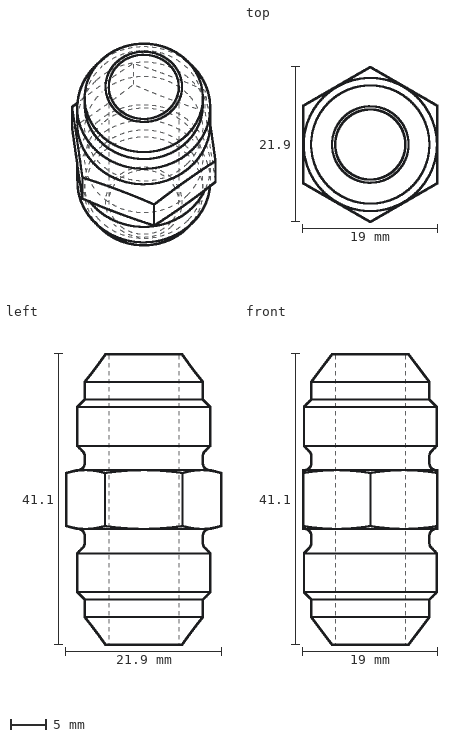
import cadquery as cq
import math

total_length = 41.1
bore_diameter = 9.9

hex_across_flats = 19.0
hex_height = 8.3
hex_chamfer_angle = math.radians(15)

neck_diameter = 16.74
thread_diameter = 18.85
cone_half_angle = math.radians(37)
cone_length = 3.92
neck_length = 2.48
thread_run_length = 6.55
groove_radius = 1.0
flank_angle = math.radians(45)

hex_half_sector = 30
hex_half_height = hex_height / 2
hex_across_corners = hex_across_flats / math.cos(math.radians(hex_half_sector))
half_length = total_length / 2
neck_radius = neck_diameter / 2
thread_radius = thread_diameter / 2


def make_hexagon():
    """Hexagonal prism whose corners are trimmed by a shallow cone at both ends."""
    prism = (
        cq.Workplane("XY")
        .polygon(6, hex_across_corners)
        .extrude(hex_height)
        .rotate((0, 0, 0), (0, 0, 1), hex_half_sector)
        .translate((0, 0, -hex_half_height))
    )
    face_radius = hex_across_flats / 2
    corner_radius = hex_across_corners / 2
    trim_depth = (corner_radius - face_radius) * math.tan(hex_chamfer_angle)
    corner_z = hex_half_height - trim_depth
    envelope = (
        cq.Workplane("XZ")
        .moveTo(0, -hex_half_height)
        .lineTo(face_radius, -hex_half_height)
        .lineTo(corner_radius, -corner_z)
        .lineTo(corner_radius, corner_z)
        .lineTo(face_radius, hex_half_height)
        .lineTo(0, hex_half_height)
        .close()
        .revolve(360, (0, 0, 0), (0, 1, 0))
    )
    return prism.intersect(envelope)


def make_upper_end():
    """Turned end above the hexagon, revolved about Z from the middle of the part."""
    tip_radius = neck_radius - cone_length * math.tan(cone_half_angle)
    cone_base_z = half_length - cone_length
    neck_end_z = cone_base_z - neck_length
    thread_top_z = neck_end_z - (thread_radius - neck_radius) / math.tan(flank_angle)
    thread_bottom_z = neck_end_z - thread_run_length

    flank_end_radius = neck_radius + groove_radius * (1 - math.cos(flank_angle))
    flank_end_z = thread_bottom_z - (thread_radius - flank_end_radius) / math.tan(flank_angle)
    upper_round_z = flank_end_z - groove_radius * math.sin(flank_angle)
    upper_round_mid = (
        neck_radius + groove_radius * (1 - math.cos(flank_angle / 2)),
        upper_round_z + groove_radius * math.sin(flank_angle / 2),
    )

    lower_round_z = hex_half_height + groove_radius
    quarter_mid_angle = math.pi / 4
    lower_round_mid = (
        neck_radius + groove_radius * (1 - math.cos(quarter_mid_angle)),
        lower_round_z - groove_radius * math.sin(quarter_mid_angle),
    )

    return (
        cq.Workplane("XZ")
        .lineTo(0, half_length)
        .lineTo(tip_radius, half_length)
        .lineTo(neck_radius, cone_base_z)
        .lineTo(neck_radius, neck_end_z)
        .lineTo(thread_radius, thread_top_z)
        .lineTo(thread_radius, thread_bottom_z)
        .lineTo(flank_end_radius, flank_end_z)
        .threePointArc(upper_round_mid, (neck_radius, upper_round_z))
        .lineTo(neck_radius, lower_round_z)
        .threePointArc(lower_round_mid, (neck_radius + groove_radius, hex_half_height))
        .lineTo(neck_radius + groove_radius, 0)
        .close()
        .revolve(360, (0, 0, 0), (0, 1, 0))
    )


def make_bore():
    """Straight bore through the full length."""
    return (
        cq.Workplane("XY")
        .circle(bore_diameter / 2)
        .extrude(total_length)
        .translate((0, 0, -half_length))
    )


upper_end = make_upper_end()
lower_end = upper_end.mirror("XY")
result = make_hexagon().union(upper_end).union(lower_end).cut(make_bore())